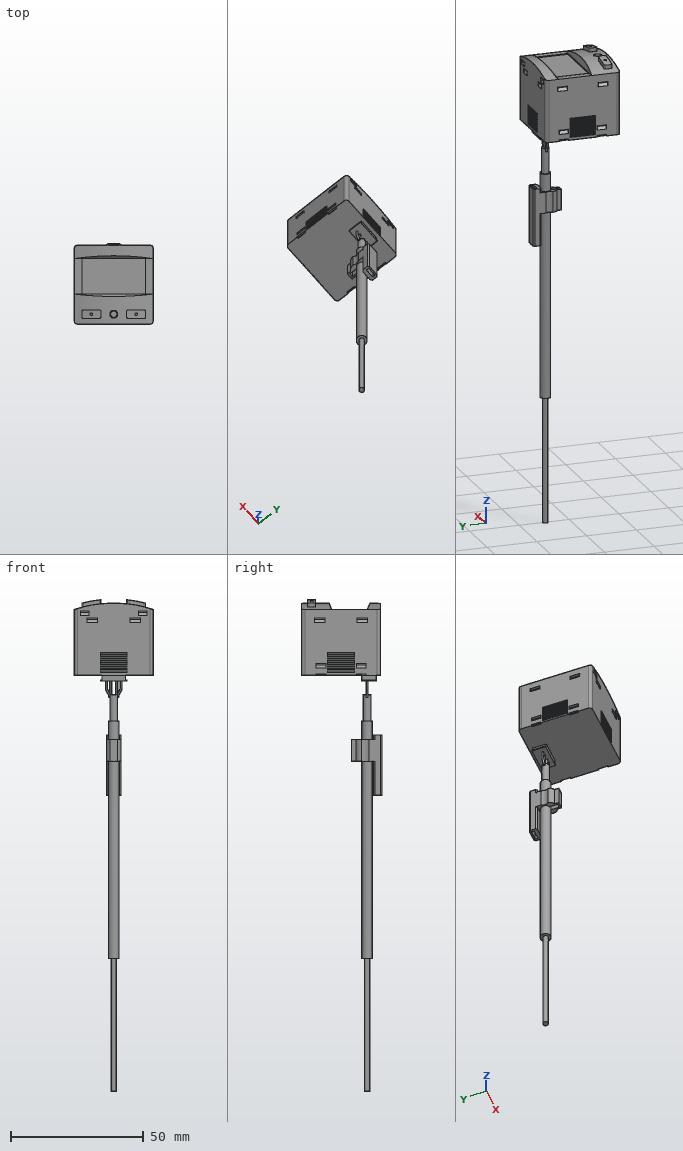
import cadquery as cq
import math

overall_height = 186.2
overall_depth = 30.5

housing_width = 30.0
housing_bottom = 157.5
housing_edge_top = 182.5
housing_crown_top = 185.0
corner_radius = 1.3
half_width = housing_width / 2
crown_rise = housing_crown_top - housing_edge_top
crown_radius = (half_width**2 + crown_rise**2) / (2 * crown_rise)
crown_center_z = housing_crown_top - crown_radius

recess_floor_front = -3.5
recess_floor_back = 9.9
recess_top_front = -4.5
recess_top_back = 11.0
window_width = 24.2
window_depth = 0.4

key_row_y = -11.2
button_inner_x = 4.8
button_outer_x = 12.1
button_depth = 3.2
button_corner_radius = 0.5
button_dot_diameter = 0.95
button_dot_depth = 1.0
indicator_diameter = 3.0
indicator_lens_diameter = 2.5
indicator_groove_depth = 0.5

slot_height = 1.7
slot_depth = 1.0
slot_back_height = 0.5
upper_slot_top = 179.3
upper_slot_inner = 6.1
upper_slot_outer = 10.0
front_slot_top = 182.0
front_slot_inner = 9.3
front_slot_outer = 12.7
lower_slot_top = 162.0
lower_slot_inner = 5.8
lower_slot_outer = 9.5
notch_height = 0.5
notch_depth = 0.5
vent_count = 8
vent_width = 10.0
vent_height = 0.5
vent_pitch = 2 * vent_height
vent_depth = 0.5
vent_bottom = 158.7

probe_y = 9.9
connector_bottom = 155.3
connector_width = 9.0
connector_depth = 5.5
connector_center_y = 10.6
flange_width = 10.0
flange_height = 0.5
wire_diameter = 0.8
inner_wire_x = 1.1
outer_wire_x = 2.8
outer_wire_bend_z = 153.0
outer_wire_end_x = 1.5
outer_wire_end_z = 149.2
cable_diameter = 3.0
cable_top = 150.3
tube_diameter = 4.1
tube_top = 140.2
tube_bottom = 50.3
rod_diameter = 2.0

clip_half_width = 2.8
clip_back_y = overall_depth - half_width
plate_front_y = 12.3
plate_chamfer = 0.5
plate_side_front_y = plate_front_y + plate_chamfer
plate_bottom = 112.1
plate_top = 135.0
channel_half_width = 1.9
channel_front_y = 13.8
channel_back_y = 14.9
jaw_bottom = 125.0
jaw_top = 133.3
waist_start_y = 10.6
waist_half_width = 2.5
lobe_start_y = 7.8
lobe_middle_half_width = 2.5
lobe_middle_y = 6.5
nose_start_y = 5.5
nose_half_width = 1.4
nose_tip_y = 4.0
relief_half_width = 0.7
relief_front_y = 4.7


def crown_height(x):
    """Height of the domed top at distance x from the middle."""
    return crown_center_z + math.sqrt(crown_radius**2 - x**2)


def span_box(x_range, y_range, z_range):
    """Box between two limits on each axis."""
    (x0, x1), (y0, y1), (z0, z1) = x_range, y_range, z_range
    return cq.Workplane("XY").box(x1 - x0, y1 - y0, z1 - z0, centered=False).translate((x0, y0, z0))


def upright_cylinder(diameter, x, y, bottom, top):
    return cq.Workplane("XY", origin=(x, y, bottom)).circle(diameter / 2).extrude(top - bottom)


def housing_block():
    """Square case with rounded upright corners and a top domed across X."""
    block = (
        cq.Workplane("XZ", origin=(0, half_width, 0))
        .moveTo(-half_width, housing_bottom)
        .lineTo(-half_width, housing_edge_top)
        .threePointArc((0, housing_crown_top), (half_width, housing_edge_top))
        .lineTo(half_width, housing_bottom)
        .close()
        .extrude(housing_width)
    )
    return block.edges("|Z").fillet(corner_radius)


def display_recess():
    """Full-width trough with sloping ends and a sunken window in its floor."""
    trough = (
        cq.Workplane("YZ")
        .polyline([
            (recess_floor_front, housing_edge_top),
            (recess_floor_back, housing_edge_top),
            (recess_top_back, housing_crown_top),
            (recess_top_front, housing_crown_top),
        ])
        .close()
        .extrude(half_width, both=True)
    )
    window = span_box(
        (-window_width / 2, window_width / 2),
        (recess_floor_front, recess_floor_back),
        (housing_edge_top - window_depth, housing_edge_top),
    )
    return trough.union(window)


def push_button(side):
    """Raised key whose top follows the dome; its inner end is the highest point."""
    button_lift = overall_height - crown_height(button_inner_x)
    center_x = side * (button_inner_x + button_outer_x) / 2
    button = (
        cq.Workplane("XY", origin=(center_x, key_row_y, housing_edge_top))
        .rect(button_outer_x - button_inner_x, button_depth)
        .extrude(overall_height - housing_edge_top)
        .edges("|Z")
        .fillet(button_corner_radius)
    )
    raised_dome = (
        cq.Workplane("XZ", origin=(0, half_width, crown_center_z + button_lift))
        .circle(crown_radius)
        .extrude(housing_width)
    )
    dot_bottom = crown_height(center_x) + button_lift - button_dot_depth
    dot = upright_cylinder(button_dot_diameter, center_x, key_row_y, dot_bottom, overall_height)
    return button.intersect(raised_dome).cut(dot)


def indicator_groove():
    """Ring groove around the round indicator lens."""
    bottom = housing_crown_top - indicator_groove_depth
    ring = upright_cylinder(indicator_diameter, 0, key_row_y, bottom, housing_crown_top)
    lens = upright_cylinder(indicator_lens_diameter, 0, key_row_y, bottom, housing_crown_top)
    return ring.cut(lens)


def wall_slot(inner, outer, top):
    """Slot in the front wall with a flat ceiling and a floor that slopes out to the surface."""
    return (
        cq.Workplane("YZ", origin=(inner, 0, 0))
        .polyline([
            (-half_width, top),
            (-half_width + slot_depth, top),
            (-half_width + slot_depth, top - slot_back_height),
            (-half_width, top - slot_height),
        ])
        .close()
        .extrude(outer - inner)
    )


def slot_pair(inner, outer, top):
    slot = wall_slot(inner, outer, top)
    return slot.union(slot.mirror("YZ"))


def vent_grille():
    """Stack of thin horizontal grooves in the front wall."""
    grille = cq.Workplane("XY")
    for index in range(vent_count):
        bottom = vent_bottom + index * vent_pitch
        grille = grille.add(span_box(
            (-vent_width / 2, vent_width / 2),
            (-half_width, -half_width + vent_depth),
            (bottom, bottom + vent_height),
        ))
    return grille.combine()


def bottom_notches():
    """Two shallow notches in the lower edge of the front wall."""
    notch = span_box(
        (lower_slot_inner, lower_slot_outer),
        (-half_width, -half_width + notch_depth),
        (housing_bottom, housing_bottom + notch_height),
    )
    return notch.union(notch.mirror("YZ"))


def on_wall(feature, turn):
    """Turn a front-wall feature about Z onto another wall."""
    return feature.rotate((0, 0, 0), (0, 0, 1), turn)


def make_housing():
    body = housing_block().cut(display_recess()).cut(indicator_groove())
    for side in (-1, 1):
        body = body.union(push_button(side))
    upper_slots = slot_pair(upper_slot_inner, upper_slot_outer, upper_slot_top)
    front_slots = slot_pair(front_slot_inner, front_slot_outer, front_slot_top)
    lower_slots = slot_pair(lower_slot_inner, lower_slot_outer, lower_slot_top)
    for turn in (0, 180):
        for feature in (upper_slots, front_slots, vent_grille()):
            body = body.cut(on_wall(feature, turn))
    for turn in (-90, 90):
        for feature in (upper_slots, lower_slots, bottom_notches(), vent_grille()):
            body = body.cut(on_wall(feature, turn))
    return body


def make_connector():
    """Plug against the housing bottom, with a wider flange at its lower end."""
    y_range = (connector_center_y - connector_depth / 2, connector_center_y + connector_depth / 2)
    plug = span_box(
        (-connector_width / 2, connector_width / 2), y_range, (connector_bottom, housing_bottom)
    )
    flange = span_box(
        (-flange_width / 2, flange_width / 2),
        y_range,
        (connector_bottom, connector_bottom + flange_height),
    )
    return plug.union(flange)


def outer_wire(side):
    """Wire that leaves the connector straight and bends in to the cable."""
    path = (
        cq.Workplane("XZ", origin=(0, probe_y, 0))
        .moveTo(side * outer_wire_x, connector_bottom)
        .lineTo(side * outer_wire_x, outer_wire_bend_z)
        .spline(
            [(side * outer_wire_end_x, outer_wire_end_z)],
            tangents=[(0, -1), (0, -1)],
            includeCurrent=True,
        )
    )
    start = cq.Workplane("XY", origin=(side * outer_wire_x, probe_y, connector_bottom))
    return start.circle(wire_diameter / 2).sweep(path)


def make_probe():
    probe = (
        upright_cylinder(rod_diameter, 0, probe_y, 0, tube_bottom)
        .union(upright_cylinder(tube_diameter, 0, probe_y, tube_bottom, tube_top))
        .union(upright_cylinder(cable_diameter, 0, probe_y, tube_top, cable_top))
        .union(make_connector())
    )
    for side in (-1, 1):
        probe = probe.union(
            upright_cylinder(wire_diameter, side * inner_wire_x, probe_y, cable_top, connector_bottom)
        )
        probe = probe.union(outer_wire(side))
    return probe


def clip_plate():
    """Back plate with bevelled upright edges and a channel running along it."""
    plate = span_box(
        (-clip_half_width, clip_half_width), (plate_front_y, clip_back_y), (plate_bottom, plate_top)
    )
    channel = span_box(
        (-channel_half_width, channel_half_width),
        (channel_front_y, channel_back_y),
        (plate_bottom, plate_top),
    )
    return plate.edges("|Z").chamfer(plate_chamfer).cut(channel)


def clip_jaw():
    """Jaw around the tube: straight root, waist, rounded lobe and square nose."""
    waist_middle_y = (waist_start_y + lobe_start_y) / 2
    return (
        cq.Workplane("XY", origin=(0, 0, jaw_bottom))
        .moveTo(-clip_half_width, plate_side_front_y)
        .lineTo(-clip_half_width, waist_start_y)
        .threePointArc((-waist_half_width, waist_middle_y), (-clip_half_width, lobe_start_y))
        .threePointArc((-lobe_middle_half_width, lobe_middle_y), (-nose_half_width, nose_start_y))
        .lineTo(-nose_half_width, nose_tip_y)
        .lineTo(nose_half_width, nose_tip_y)
        .lineTo(nose_half_width, nose_start_y)
        .threePointArc((lobe_middle_half_width, lobe_middle_y), (clip_half_width, lobe_start_y))
        .threePointArc((waist_half_width, waist_middle_y), (clip_half_width, waist_start_y))
        .lineTo(clip_half_width, plate_side_front_y)
        .close()
        .extrude(jaw_top - jaw_bottom)
    )


def make_clip():
    bore = upright_cylinder(tube_diameter, 0, probe_y, jaw_bottom, jaw_top)
    relief = span_box(
        (-relief_half_width, relief_half_width), (relief_front_y, probe_y), (jaw_bottom, jaw_top)
    )
    return clip_plate().union(clip_jaw()).cut(bore).cut(relief)


housing = make_housing()
probe = make_probe()
clip = make_clip()

result = cq.Compound.makeCompound([
    housing.solids().val(),
    probe.solids().val(),
    clip.solids().val(),
])